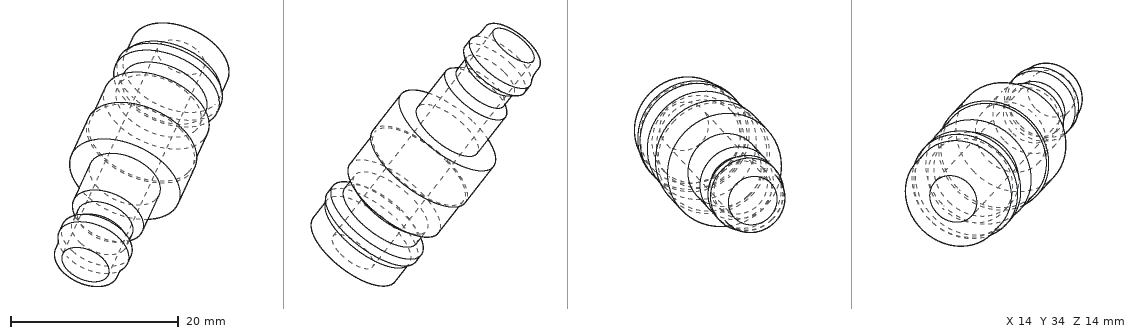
import cadquery as cq

length = 34.0

bore_dia = 6.0
tip_dia = 8.1
stem_dia = 9.0
stem_groove_dia = 7.07
collar_dia = 14.0
body_dia = 13.4
body_groove_dia = 10.8
rear_dia = 12.4

tip_rounding = 0.35
tip_end = 1.0
stem_ridge_start = 2.8
stem_ridge_end = 4.0
stem_groove_start = 4.95
stem_groove_end = 7.0
stem_start = 8.0
collar_start = 14.0
collar_end = 20.0

body_end = length - 8.75
body_groove_start = length - 8.0
body_groove_end = length - 5.88
body_ridge_start = length - 5.15
body_ridge_end = length - 4.0
rear_start = length - 3.2
rear_rounding = 0.35

bore_r = bore_dia / 2
tip_r = tip_dia / 2
stem_r = stem_dia / 2
stem_groove_r = stem_groove_dia / 2
collar_r = collar_dia / 2
body_r = body_dia / 2
body_groove_r = body_groove_dia / 2
rear_r = rear_dia / 2

section = (
    cq.Workplane("XY")
    .moveTo(bore_r, 0)
    .lineTo(tip_r - tip_rounding, 0)
    .radiusArc((tip_r, tip_rounding), -tip_rounding)
    .lineTo(tip_r, tip_end)
    .tangentArcPoint((stem_r, stem_ridge_start), relative=False)
    .lineTo(stem_r, stem_ridge_end)
    .lineTo(stem_groove_r, stem_groove_start)
    .lineTo(stem_groove_r, stem_groove_end)
    .lineTo(stem_r, stem_start)
    .lineTo(stem_r, collar_start)
    .lineTo(collar_r, collar_start)
    .lineTo(collar_r, collar_end)
    .lineTo(body_r, collar_end)
    .lineTo(body_r, body_end)
    .lineTo(body_groove_r, body_groove_start)
    .lineTo(body_groove_r, body_groove_end)
    .lineTo(body_r, body_ridge_start)
    .lineTo(body_r, body_ridge_end)
    .lineTo(rear_r, rear_start)
    .lineTo(rear_r, length - rear_rounding)
    .radiusArc((rear_r - rear_rounding, length), -rear_rounding)
    .lineTo(bore_r, length)
    .close()
)

result = section.revolve(360, (0, 0, 0), (0, 1, 0))